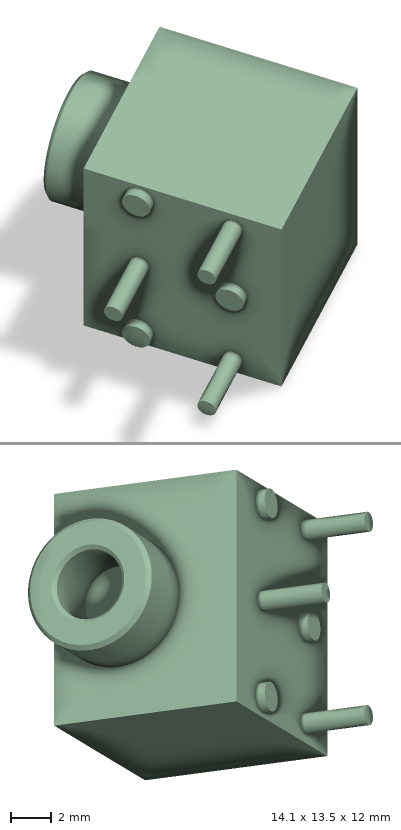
import cadquery as cq

body_length = 10.6
body_depth = 10.0
body_height = 12.0

barrel_length = 3.5
barrel_diameter = 6.8
barrel_back_offset = 3.5
barrel_chamfer = 0.23
bore_diameter = 3.6
bore_depth = barrel_length
bore_chamfer = 0.2

pin_diameter = 1.0
pin_length = 3.5
pad_diameter = 1.5
pad_height = 0.5
front_column_x = 3.0
column_spacing = 5.0
row_spacing = 5.0

barrel_y = body_depth - barrel_back_offset
rear_column_x = front_column_x + column_spacing
pin_positions = [(front_column_x, 0), (rear_column_x, row_spacing), (rear_column_x, -row_spacing)]
pad_positions = [(rear_column_x, 0), (front_column_x, row_spacing), (front_column_x, -row_spacing)]


def make_body():
    return cq.Workplane("XY").box(body_length, body_depth, body_height, centered=(False, False, True))


def make_barrel():
    """Barrel along -X with a chamfered outer rim."""
    barrel = cq.Workplane("YZ").center(barrel_y, 0).circle(barrel_diameter / 2).extrude(-barrel_length)
    return barrel.faces("<X").chamfer(barrel_chamfer)


def make_bore():
    """Bore cutter, flared at the mouth by the entry chamfer."""
    bore_radius = bore_diameter / 2
    mouth_radius = bore_radius + bore_chamfer
    mouth = cq.Workplane("YZ", origin=(-barrel_length, barrel_y, 0))
    bore = mouth.circle(bore_radius).extrude(bore_depth)
    flare = (
        mouth.circle(mouth_radius)
        .workplane(offset=bore_chamfer)
        .circle(bore_radius)
        .loft(ruled=True)
    )
    return bore.union(flare)


def make_posts(positions, diameter, length):
    """Round posts standing out from the -Y face at (X, Z) positions."""
    return cq.Workplane("XZ").pushPoints(positions).circle(diameter / 2).extrude(length)


pins = make_posts(pin_positions, pin_diameter, pin_length)
pads = make_posts(pad_positions, pad_diameter, pad_height)
result = make_body().union(make_barrel()).cut(make_bore()).union(pins).union(pads)